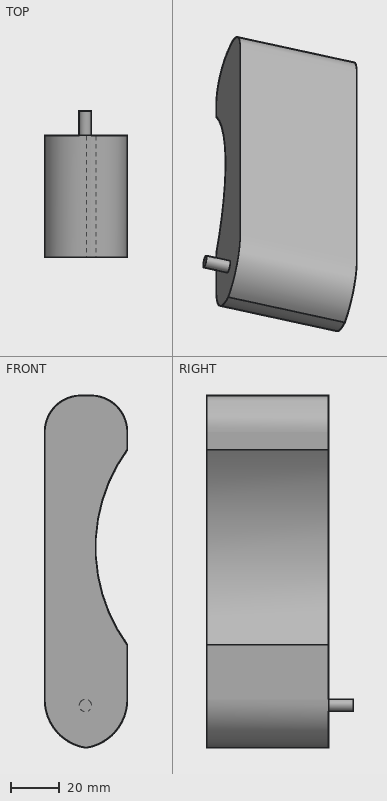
import cadquery as cq
import math

width = 33.9
height = 144.4
depth = 50.0
total_depth = 60.0

top_radius = 15.0
bottom_radius = 20.0

grip_top = 122.1
grip_bottom = 42.2
grip_inset = 13.0

pin_diameter = 5.0
pin_x = 16.6
pin_height = 17.5

centre_x = width / 2
bottom_rise = math.sqrt(bottom_radius**2 - (bottom_radius - centre_x) ** 2)


def point_on_arc(centre, radius, degrees):
    """Point on a circle, with the angle measured from +X towards +Z."""
    angle = math.radians(degrees)
    return (centre[0] + radius * math.cos(angle), centre[1] + radius * math.sin(angle))


def body():
    """Extrude the side profile along +Y from the XZ plane."""
    top_left = (top_radius, height - top_radius)
    top_right = (width - top_radius, height - top_radius)
    bottom_left = (bottom_radius, bottom_rise)
    bottom_right = (width - bottom_radius, bottom_rise)
    grip_middle = (width - grip_inset, (grip_top + grip_bottom) / 2)
    half_sweep = math.degrees(math.asin(bottom_rise / bottom_radius)) / 2
    return (
        cq.Workplane("XZ")
        .moveTo(0, bottom_rise)
        .lineTo(0, height - top_radius)
        .threePointArc(point_on_arc(top_left, top_radius, 135), (top_radius, height))
        .lineTo(width - top_radius, height)
        .threePointArc(point_on_arc(top_right, top_radius, 45), (width, height - top_radius))
        .lineTo(width, grip_top)
        .threePointArc(grip_middle, (width, grip_bottom))
        .lineTo(width, bottom_rise)
        .threePointArc(point_on_arc(bottom_right, bottom_radius, -half_sweep), (centre_x, 0))
        .threePointArc(point_on_arc(bottom_left, bottom_radius, 180 + half_sweep), (0, bottom_rise))
        .close()
        .extrude(-depth)
    )


def pin():
    """Pin running from inside the +Y face of the body to the full depth."""
    return (
        cq.Workplane("XZ", origin=(0, depth / 2, 0))
        .center(pin_x, pin_height)
        .circle(pin_diameter / 2)
        .extrude(-(total_depth - depth / 2))
    )


result = body().union(pin())